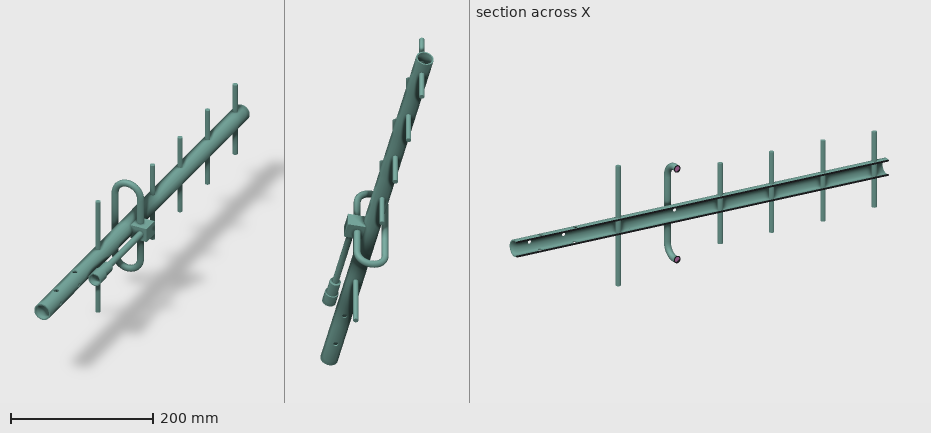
import cadquery as cq

BOOM_LENGTH = 616.0
BOOM_DIAMETER = 25.0
BOOM_WALL = 2.0

ROD_DIAMETER = 7.5
REFLECTOR_LENGTH = 180.0
REFLECTOR_Y = -136.0
DIRECTOR_LENGTH = 121.0
FIRST_DIRECTOR_Y = 32.5
DIRECTOR_PITCH = 85.0
DIRECTOR_COUNT = 3
END_DIRECTOR_LENGTH = 113.5

MOUNT_HOLE_DIAMETER = 7.5
MOUNT_HOLE_YS = (-207.5, -265.0)
CROSS_HOLE_DIAMETER = 6.0
CROSS_HOLE_YS = (-219.0, -276.0)
DRILL_CLEARANCE = 6.0

FEED_Y = -42.0
BLOCK_SIDE = 25.0
BLOCK_HEIGHT = 21.0
BLOCK_RIGHT_X = 35.0
FEED_HOLE_Y = -36.0

LOOP_BAR_DIAMETER = 10.0
LOOP_WIDTH = 50.0
LOOP_HEIGHT = 148.0
LOOP_LEFT_X = -26.0

CABLE_DIAMETER = 9.0
SLEEVE_DIAMETER = 16.0
SLEEVE_START_Y = -155.0
SLEEVE_LENGTH = 22.0
NUT_DIAMETER = 20.0
NUT_LENGTH = 18.5
SOCKET_DIAMETER = 16.5
SOCKET_DEPTH = 15.0

BOOM_BORE = BOOM_DIAMETER - 2 * BOOM_WALL
CABLE_X = BLOCK_RIGHT_X - NUT_DIAMETER / 2


def bar_along_y(diameter, x, start_y, length):
    """Round bar that runs from start_y toward -Y."""
    return cq.Workplane("XZ", origin=(x, start_y, 0)).circle(diameter / 2).extrude(length)


def bar_along_z(diameter, y, length):
    """Round bar centred on the boom axis, upright."""
    return cq.Workplane("XY", origin=(0, y, 0)).circle(diameter / 2).extrude(length / 2, both=True)


def bar_along_x(diameter, y, length):
    """Round bar centred on the boom axis, running across it."""
    return cq.Workplane("YZ", origin=(0, y, 0)).circle(diameter / 2).extrude(length / 2, both=True)


def make_boom():
    boom = bar_along_y(BOOM_DIAMETER, 0, BOOM_LENGTH / 2, BOOM_LENGTH)
    boom = boom.cut(bar_along_y(BOOM_BORE, 0, BOOM_LENGTH / 2, BOOM_LENGTH))
    drill_length = BOOM_DIAMETER + 2 * DRILL_CLEARANCE
    for y in MOUNT_HOLE_YS:
        boom = boom.cut(bar_along_z(MOUNT_HOLE_DIAMETER, y, drill_length))
    for y in CROSS_HOLE_YS + (FEED_HOLE_Y,):
        boom = boom.cut(bar_along_x(CROSS_HOLE_DIAMETER, y, drill_length))
    return boom


def make_rods():
    rods = bar_along_z(ROD_DIAMETER, REFLECTOR_Y, REFLECTOR_LENGTH)
    for index in range(DIRECTOR_COUNT):
        y = FIRST_DIRECTOR_Y + index * DIRECTOR_PITCH
        rods = rods.union(bar_along_z(ROD_DIAMETER, y, DIRECTOR_LENGTH))
    end_y = FIRST_DIRECTOR_Y + DIRECTOR_COUNT * DIRECTOR_PITCH
    return rods.union(bar_along_z(ROD_DIAMETER, end_y, END_DIRECTOR_LENGTH))


def make_feed_block():
    block_x = BLOCK_RIGHT_X - BLOCK_SIDE / 2
    block = cq.Workplane("XY", origin=(block_x, FEED_Y, 0)).box(BLOCK_SIDE, BLOCK_SIDE, BLOCK_HEIGHT)
    return block.cut(bar_along_y(BOOM_DIAMETER, 0, BOOM_LENGTH / 2, BOOM_LENGTH))


def make_dipole():
    bend_radius = (LOOP_WIDTH - LOOP_BAR_DIAMETER) / 2
    leg_half = (LOOP_HEIGHT - LOOP_WIDTH) / 2
    centre_x = LOOP_LEFT_X + LOOP_WIDTH / 2
    left_x = centre_x - bend_radius
    right_x = centre_x + bend_radius
    top_z = leg_half + bend_radius
    path = (
        cq.Workplane("XZ", origin=(0, FEED_Y, 0))
        .moveTo(left_x, -leg_half)
        .lineTo(left_x, leg_half)
        .threePointArc((centre_x, top_z), (right_x, leg_half))
        .lineTo(right_x, -leg_half)
        .threePointArc((centre_x, -top_z), (left_x, -leg_half))
        .close()
    )
    section = cq.Workplane("XY", origin=(left_x, FEED_Y, -leg_half)).circle(LOOP_BAR_DIAMETER / 2)
    return section.sweep(path)


def make_cable():
    nut_start_y = SLEEVE_START_Y - SLEEVE_LENGTH
    cable = bar_along_y(CABLE_DIAMETER, CABLE_X, FEED_Y, FEED_Y - SLEEVE_START_Y)
    sleeve = bar_along_y(SLEEVE_DIAMETER, CABLE_X, SLEEVE_START_Y, SLEEVE_LENGTH)
    nut = bar_along_y(NUT_DIAMETER, CABLE_X, nut_start_y, NUT_LENGTH)
    socket_floor_y = nut_start_y - (NUT_LENGTH - SOCKET_DEPTH)
    socket = bar_along_y(SOCKET_DIAMETER, CABLE_X, socket_floor_y, SOCKET_DEPTH)
    return cable.union(sleeve).union(nut.cut(socket))


result = (
    make_boom()
    .union(make_rods())
    .union(make_feed_block())
    .union(make_dipole())
    .union(make_cable())
)